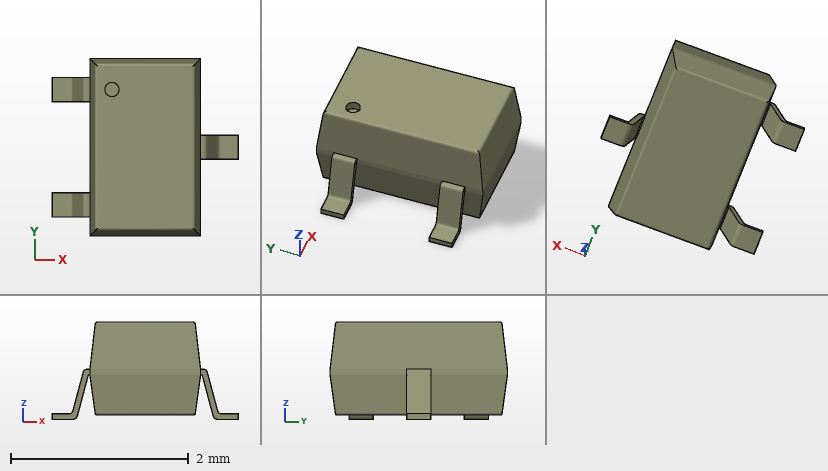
import cadquery as cq
import math

body_width = 1.25
body_length = 2.0
body_bottom = 0.05
body_top = 1.1
body_inset = 0.0625
top_edge_radius = 0.03
bottom_edge_radius = 0.025

lead_span = 2.1
lead_thickness = 0.066
lead_width = 0.275
lead_pitch = 1.3
lead_top = 0.567
lead_slope = math.radians(15)
shoulder_offset = 0.066
shoulder_radius = 0.04
heel_inner_radius = 0.04
heel_outer_radius = 0.06

band_top = lead_top
band_bottom = lead_top - lead_thickness

mark_diameter = 0.16
mark_depth = 0.1
mark_x = -body_width / 2 + 0.25
mark_y = lead_pitch / 2


def tapered_half(start_height, height):
    """Frustum growing from the parting band, upwards or downwards, to the end face."""
    return (
        cq.Workplane("XY", origin=(0, 0, start_height))
        .rect(body_width, body_length)
        .workplane(offset=height)
        .rect(body_width - 2 * body_inset, body_length - 2 * body_inset)
        .loft(ruled=True)
    )


def make_body():
    upper = tapered_half(band_top, body_top - band_top)
    upper = upper.faces(">Z").edges().fillet(top_edge_radius)

    lower = tapered_half(band_bottom, body_bottom - band_bottom)
    lower = lower.faces("<Z").edges().fillet(bottom_edge_radius)

    band = (
        cq.Workplane("XY", origin=(0, 0, band_bottom))
        .rect(body_width, body_length)
        .extrude(lead_thickness)
    )
    mark = (
        cq.Workplane("XY", origin=(mark_x, mark_y, body_top - mark_depth))
        .circle(mark_diameter / 2)
        .extrude(mark_depth)
    )
    return band.union(upper).union(lower).cut(mark)


def make_lead(y_center):
    """Gull-wing lead on the -X side, from the body face down to the toe."""
    root_x = -body_width / 2
    toe_x = -lead_span / 2

    mitre_shift = lead_thickness * math.tan((math.pi / 2 - lead_slope) / 2)
    leg_run = (lead_top - lead_thickness) * math.tan(lead_slope)
    shoulder_outer_x = root_x - shoulder_offset
    shoulder_inner_x = shoulder_outer_x + mitre_shift
    heel_inner_x = shoulder_outer_x - leg_run
    heel_outer_x = heel_inner_x + mitre_shift

    shoulder_outer = (shoulder_outer_x, lead_top)
    shoulder_inner = (shoulder_inner_x, lead_top - lead_thickness)
    heel_inner = (heel_inner_x, lead_thickness)
    heel_outer = (heel_outer_x, 0)

    lead = (
        cq.Workplane("XZ", origin=(0, y_center + lead_width / 2, 0))
        .polyline([
            (root_x, lead_top),
            shoulder_outer,
            heel_inner,
            (toe_x, lead_thickness),
            (toe_x, 0),
            heel_outer,
            shoulder_inner,
            (root_x, lead_top - lead_thickness),
        ])
        .close()
        .extrude(lead_width)
    )

    def round_bend(solid, corner, radius):
        nearest = cq.selectors.NearestToPointSelector((corner[0], y_center, corner[1]))
        return solid.edges("|Y").edges(nearest).fillet(radius)

    lead = round_bend(lead, shoulder_outer, shoulder_radius)
    lead = round_bend(lead, heel_inner, heel_inner_radius)
    return round_bend(lead, heel_outer, heel_outer_radius)


body = make_body()

leads = [make_lead(side * lead_pitch / 2) for side in (-1, 1)]
leads.append(make_lead(0).rotate((0, 0, 0), (0, 0, 1), 180))

result = cq.Compound.makeCompound([body.val(), *[lead.val() for lead in leads]])